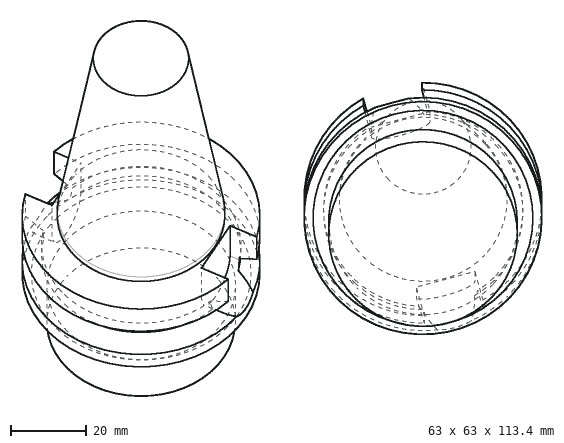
import cadquery as cq
import math

total_height = 113.4
flange_radius = 63.0 / 2
nose_radius = 50.0 / 2
gauge_radius = 44.5 / 2
taper_tip_radius = 25.3 / 2

nose_height = 15.9
flange_bottom = 21.0
flange_top = 45.8
gauge_height = 47.9
shoulder_radius = 29.1

groove_radius = 26.4
groove_floor_bottom = 29.3
groove_floor_top = 33.3
groove_flank_angle = 30.0
groove_flank_height = (flange_radius - groove_radius) * math.tan(math.radians(groove_flank_angle))

slot_width = 16.1
slot_floor_distance = 22.5
slot_bottom = 24.8
slot_margin = 1.1


def holder_body():
    """Revolved nose, grooved flange and taper."""
    profile = [
        (0, 0),
        (nose_radius, 0),
        (nose_radius, nose_height),
        (shoulder_radius, flange_bottom),
        (flange_radius, flange_bottom),
        (flange_radius, groove_floor_bottom - groove_flank_height),
        (groove_radius, groove_floor_bottom),
        (groove_radius, groove_floor_top),
        (flange_radius, groove_floor_top + groove_flank_height),
        (flange_radius, flange_top),
        (gauge_radius, flange_top),
        (gauge_radius, gauge_height),
        (taper_tip_radius, total_height),
        (0, total_height),
    ]
    return cq.Workplane("XZ").polyline(profile).close().revolve(360, (0, 0, 0), (0, 1, 0))


def drive_slot(side):
    """Cutter for one drive slot; side is -1 for -X and +1 for +X."""
    half_width = slot_width / 2
    arc_center_height = slot_bottom + half_width
    depth = flange_radius + slot_margin - slot_floor_distance
    return (
        cq.Workplane("YZ", origin=(side * slot_floor_distance, 0, 0))
        .moveTo(-half_width, flange_top)
        .lineTo(-half_width, arc_center_height)
        .threePointArc((0, slot_bottom), (half_width, arc_center_height))
        .lineTo(half_width, flange_top)
        .close()
        .extrude(side * depth)
    )


result = holder_body()
for side in (-1, 1):
    result = result.cut(drive_slot(side))